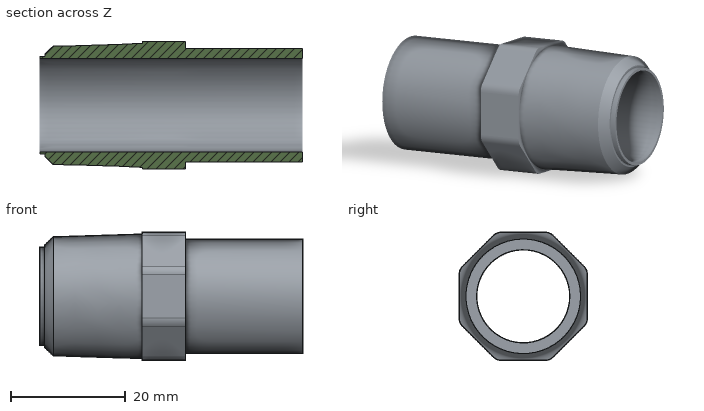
import cadquery as cq
import math

total_length = 46.0
lip_length = 0.9
chamfer_length = 1.5
taper_length = 15.5
nut_length = 7.6

bore_diameter = 16.2
lip_diameter = 17.15
chamfer_small_diameter = 17.9
taper_small_diameter = 20.8
taper_ratio = 1 / 16
spigot_diameter = 20.0

nut_sides = 8
nut_across_flats = 22.4
nut_corner_radius = 2.0

chamfer_start = lip_length
taper_start = chamfer_start + chamfer_length
nut_start = taper_start + taper_length
nut_end = nut_start + nut_length
taper_large_diameter = taper_small_diameter + taper_ratio * taper_length


def cylinder(diameter, start, end):
    """Cylinder on the X axis between two X positions."""
    return cq.Workplane("YZ").workplane(offset=start).circle(diameter / 2).extrude(end - start)


def cone(start_diameter, end_diameter, start, end):
    """Truncated cone on the X axis between two X positions."""
    solid = cq.Solid.makeCone(
        start_diameter / 2,
        end_diameter / 2,
        end - start,
        pnt=cq.Vector(start, 0, 0),
        dir=cq.Vector(1, 0, 0),
    )
    return cq.Workplane(obj=solid)


def make_nut():
    """Octagonal nut with flats square to Y and Z, and rounded corners."""
    half_side_angle = math.pi / nut_sides
    across_corners = nut_across_flats / math.cos(half_side_angle)
    return (
        cq.Workplane("YZ")
        .workplane(offset=nut_start)
        .transformed(rotate=(0, 0, math.degrees(half_side_angle)))
        .polygon(nut_sides, across_corners)
        .extrude(nut_length)
        .edges("|X")
        .fillet(nut_corner_radius)
    )


def make_body():
    """Lip, lead-in chamfer, tapered end, nut and plain spigot, all solid."""
    lip = cylinder(lip_diameter, 0, chamfer_start)
    chamfer = cone(chamfer_small_diameter, taper_small_diameter, chamfer_start, taper_start)
    taper = cone(taper_small_diameter, taper_large_diameter, taper_start, nut_start)
    spigot = cylinder(spigot_diameter, nut_end, total_length)
    return lip.union(chamfer).union(taper).union(make_nut()).union(spigot)


result = make_body().cut(cylinder(bore_diameter, 0, total_length))